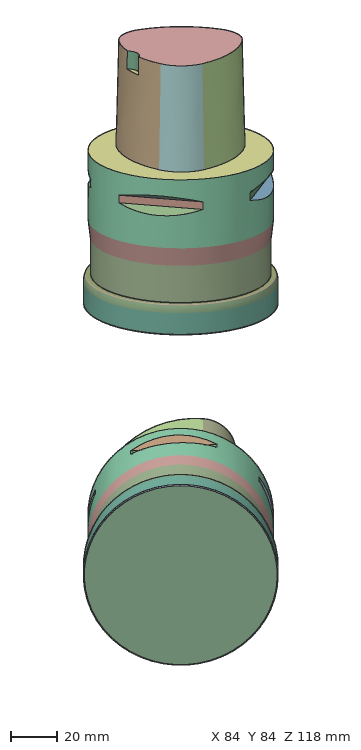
import cadquery as cq
import math

TOTAL_HEIGHT = 118.0
DISK_HEIGHT = 13.6
NECK_TOP = 30.6
COLLAR_BOTTOM = 38.8
COLLAR_TOP = 70.1

DISK_DIAMETER = 84.0
DISK_STRAIGHT_TOP = 10.0
DISK_TOP_DIAMETER = 82.6
DISK_TOP_FILLET = 0.5
DISK_BOTTOM_CHAMFER = 0.5

COLLAR_DIAMETER = 80.0
NECK_DIAMETER = 78.0
NECK_BOTTOM_CHAMFER = 0.4

LOBE_REACH = 29.6
LOBE_RADIUS = 16.5
FLANK_REACH = 25.5
LOBE_COUNT = 3
TOP_LOBE_ANGLE = 90.0
SHANK_TAPER_ANGLE = math.degrees(math.atan(1 / 40))

NOTCH_DEPTH = 8.1
NOTCH_RADIUS = 5.9
NOTCH_BACK_Y = -21.8

SLOT_COUNT = 4
FIRST_SLOT_ANGLE = 45.0
SLOT_CENTER_Z = 57.9
SLOT_FLOOR_HEIGHT = 3.4
SLOT_MOUTH_HEIGHT = 9.0
SLOT_FLOOR_DISTANCE = 35.4


def polar(radius, angle):
    """Point at a radius and an angle in degrees about the axis."""
    turn = math.radians(angle)
    return (radius * math.cos(turn), radius * math.sin(turn))


def make_base_disk():
    """Disk turned about the Z axis, its rim curving inward to a rounded top edge."""
    rim_radius = DISK_DIAMETER / 2
    disk = (
        cq.Workplane("XZ")
        .lineTo(rim_radius - DISK_BOTTOM_CHAMFER, 0)
        .lineTo(rim_radius, DISK_BOTTOM_CHAMFER)
        .lineTo(rim_radius, DISK_STRAIGHT_TOP)
        .tangentArcPoint((DISK_TOP_DIAMETER / 2, DISK_HEIGHT), relative=False)
        .lineTo(0, DISK_HEIGHT)
        .close()
        .revolve(360, (0, 0), (0, 1))
    )
    return disk.faces(">Z").edges().fillet(DISK_TOP_FILLET)


def make_round_body():
    """Neck, flare and collar, turned about the Z axis."""
    neck_radius = NECK_DIAMETER / 2
    collar_radius = COLLAR_DIAMETER / 2
    return (
        cq.Workplane("XZ")
        .moveTo(0, DISK_HEIGHT)
        .lineTo(neck_radius - NECK_BOTTOM_CHAMFER, DISK_HEIGHT)
        .lineTo(neck_radius, DISK_HEIGHT + NECK_BOTTOM_CHAMFER)
        .lineTo(neck_radius, NECK_TOP)
        .lineTo(collar_radius, COLLAR_BOTTOM)
        .lineTo(collar_radius, COLLAR_TOP)
        .lineTo(0, COLLAR_TOP)
        .close()
        .revolve(360, (0, 0), (0, 1))
    )


def make_shank():
    """Shank whose outline is three lobe arcs joined by three tangent flank arcs."""
    lobe_offset = LOBE_REACH - LOBE_RADIUS
    reach_gap = FLANK_REACH - LOBE_RADIUS
    flank_offset = (lobe_offset**2 - reach_gap**2) / (2 * reach_gap - lobe_offset)

    along = lobe_offset + flank_offset / 2
    across = flank_offset * math.sqrt(3) / 2
    joint_x = lobe_offset + LOBE_RADIUS * along / math.hypot(along, across)
    joint_y = LOBE_RADIUS * across / math.hypot(along, across)
    joint_radius = math.hypot(joint_x, joint_y)
    joint_angle = math.degrees(math.atan2(joint_y, joint_x))

    pitch = 360 / LOBE_COUNT
    outline = cq.Workplane("XY").workplane(offset=COLLAR_TOP)
    outline = outline.moveTo(*polar(joint_radius, TOP_LOBE_ANGLE - joint_angle))
    for index in range(LOBE_COUNT):
        lobe_angle = TOP_LOBE_ANGLE + index * pitch
        outline = outline.threePointArc(
            polar(LOBE_REACH, lobe_angle),
            polar(joint_radius, lobe_angle + joint_angle),
        )
        outline = outline.threePointArc(
            polar(FLANK_REACH, lobe_angle + pitch / 2),
            polar(joint_radius, lobe_angle + pitch - joint_angle),
        )
    return outline.close().extrude(TOTAL_HEIGHT - COLLAR_TOP, taper=SHANK_TAPER_ANGLE)


def make_notch_cutter():
    return (
        cq.Workplane("XY")
        .workplane(offset=TOTAL_HEIGHT - NOTCH_DEPTH)
        .center(0, NOTCH_BACK_Y - NOTCH_RADIUS)
        .circle(NOTCH_RADIUS)
        .extrude(NOTCH_DEPTH)
    )


def make_slot_cutter(angle):
    """Straight slot with sloping walls, cut square to the given direction."""
    mouth_distance = COLLAR_DIAMETER / 2
    half_floor = SLOT_FLOOR_HEIGHT / 2
    half_mouth = SLOT_MOUTH_HEIGHT / 2
    return (
        cq.Workplane("XZ")
        .moveTo(SLOT_FLOOR_DISTANCE, SLOT_CENTER_Z - half_floor)
        .lineTo(mouth_distance, SLOT_CENTER_Z - half_mouth)
        .lineTo(mouth_distance, SLOT_CENTER_Z + half_mouth)
        .lineTo(SLOT_FLOOR_DISTANCE, SLOT_CENTER_Z + half_floor)
        .close()
        .extrude(COLLAR_DIAMETER / 2, both=True)
        .rotate((0, 0, 0), (0, 0, 1), angle)
    )


def make_holder():
    holder = make_round_body().union(make_shank())
    holder = holder.cut(make_notch_cutter())
    for index in range(SLOT_COUNT):
        holder = holder.cut(make_slot_cutter(FIRST_SLOT_ANGLE + index * 360 / SLOT_COUNT))
    return holder


base_disk = make_base_disk()
holder = make_holder()
result = cq.Compound.makeCompound([base_disk.val(), *holder.vals()])